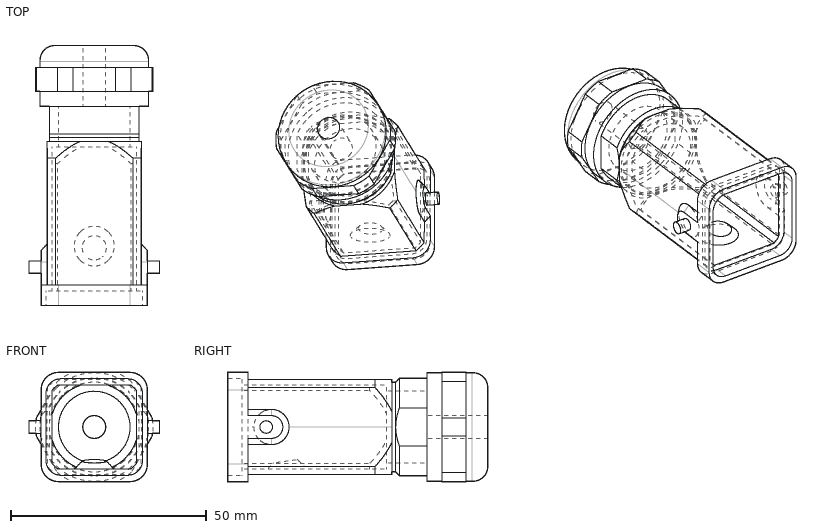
import cadquery as cq
import math


collar_width = 27.2
collar_height = 28.0
collar_length = 5.2
collar_corner_radius = 4.5
mouth_size = 24.7
mouth_corner_radius = 3.85
mouth_depth = 3.7

body_end = 42.0
body_half_height = 12.15
body_half_width = 12.1
body_draft_offset = 0.15
body_corner_radius = 15.65
body_nose_radius = 12.65
body_nose_length = 4.3

wall = 1.4
cavity_half_size = body_half_height - wall
cavity_corner_radius = body_corner_radius - wall
cavity_floor_radius = body_nose_radius - wall
cavity_end = body_end - wall

neck_radius = 23.0 / 2
neck_end = 42.95
sleeve_radius = 25.0 / 2
sleeve_start = 43.9
sleeve_end = 50.9
sleeve_flats = 23.0
nut_ring_radius = 27.8 / 2
nut_start = 54.75
nut_end = 60.9
nut_across_flats = 28.0
nut_corner_radius = 15.0
dome_start = 62.4
total_length = 66.5
dome_flat_radius = 10.4
cable_hole_diameter = 5.8
gland_bore_diameter = 18.3

pin_diameter = 3.2
pin_span = 33.4
pin_y = 9.85
pad_y = 11.2
pad_base_radius = 4.5
pad_top_radius = 2.9
pad_base_x = body_half_width

boss_y = 15.2
boss_base_radius = 5.1
boss_front_height = 1.55
boss_slant = 8.0


def box_along_y(width, height, y_start, y_end):
    """Rectangular block centred on the Y axis."""
    length = y_end - y_start
    return cq.Workplane("XY").box(width, length, height).translate((0, y_start + length / 2, 0))


def rod_along_y(radius, y_start, y_end):
    """Cylinder centred on the Y axis."""
    return cq.Workplane("XZ", origin=(0, y_start, 0)).circle(radius).extrude(y_start - y_end)


def nosed_rod(radius, nose_radius, y_end):
    """Cylinder about Y from the mouth, ending in the cone of the body's nose."""
    slope = body_nose_length / (body_corner_radius - body_nose_radius)
    nose_start = y_end - slope * (radius - nose_radius)
    profile = [(0, 0), (radius, 0), (radius, nose_start), (nose_radius, y_end), (0, y_end)]
    return cq.Workplane("XY").polyline(profile).close().revolve(360, (0, 0, 0), (0, 1, 0))


def make_body():
    """Box with sides drafted away from the parting line at Z = 0, then rounded at corners and nose."""
    edge_half_width = body_half_width - body_draft_offset
    outline = [
        (body_half_width, 0),
        (edge_half_width, body_half_height),
        (-edge_half_width, body_half_height),
        (-body_half_width, 0),
        (-edge_half_width, -body_half_height),
        (edge_half_width, -body_half_height),
    ]
    box = cq.Workplane("XZ").polyline(outline).close().extrude(-body_end)
    return box.intersect(nosed_rod(body_corner_radius, body_nose_radius, body_end))


def make_collar():
    collar = box_along_y(collar_width, collar_height, 0, collar_length)
    return collar.edges("|Y").fillet(collar_corner_radius)


def make_gland():
    """Neck, sleeve, nut ring and domed cap as one turned shape, plus the sleeve flats and hexagon."""
    bend = math.sqrt(0.5)
    dome_middle = (
        dome_flat_radius + (nut_ring_radius - dome_flat_radius) * bend,
        dome_start + (total_length - dome_start) * bend,
    )
    sleeve_profile = [
        (0, cavity_end),
        (neck_radius, cavity_end),
        (neck_radius, neck_end),
        (sleeve_radius, sleeve_start),
        (sleeve_radius, sleeve_end),
        (0, sleeve_end),
    ]
    sleeve = cq.Workplane("XY").polyline(sleeve_profile).close().revolve(360, (0, 0, 0), (0, 1, 0))
    sleeve = sleeve.intersect(box_along_y(sleeve_flats, 2 * sleeve_radius, cavity_end, sleeve_end))

    cap = (
        cq.Workplane("XY")
        .moveTo(0, sleeve_end)
        .lineTo(nut_ring_radius, sleeve_end)
        .lineTo(nut_ring_radius, dome_start)
        .threePointArc(dome_middle, (dome_flat_radius, total_length))
        .lineTo(0, total_length)
        .close()
        .revolve(360, (0, 0, 0), (0, 1, 0))
    )

    hexagon_diameter = nut_across_flats / math.cos(math.pi / 6)
    hexagon = cq.Workplane("XZ", origin=(0, nut_start, 0)).polygon(6, hexagon_diameter)
    nut = hexagon.extrude(nut_start - nut_end)
    nut = nut.intersect(rod_along_y(nut_corner_radius, nut_start, nut_end))
    return sleeve.union(cap).union(nut)


def make_pad(side):
    """Bevelled pad with a round end, running from the pin to the collar and flush with its side."""
    base = cq.Workplane("YZ", origin=(side * pad_base_x, 0, 0))
    rise = collar_width / 2 - pad_base_x
    bevel = math.degrees(math.atan((pad_base_radius - pad_top_radius) / rise))
    outward = side * rise
    round_end = base.center(pad_y, 0).circle(pad_base_radius).extrude(outward, taper=bevel)
    section = [
        (pad_base_x, -pad_base_radius),
        (collar_width / 2, -pad_top_radius),
        (collar_width / 2, pad_top_radius),
        (pad_base_x, pad_base_radius),
    ]
    tongue = cq.Workplane("XZ").polyline([(side * x, z) for x, z in section]).close().extrude(-pad_y)
    root = cq.Workplane("YZ").center(pad_y, 0).circle(pad_base_radius).extrude(side * pad_base_x)
    return round_end.union(tongue).union(root)


def make_pins():
    pins = cq.Workplane("YZ", origin=(-pin_span / 2, pin_y, 0)).circle(pin_diameter / 2)
    return pins.extrude(pin_span)


def make_cavity():
    """Mouth recess, rounded square chamber with a conical end, gland bore and cable hole."""
    recess = box_along_y(mouth_size, mouth_size, 0, mouth_depth).edges("|Y").fillet(mouth_corner_radius)
    chamber = box_along_y(2 * cavity_half_size, 2 * cavity_half_size, 0, cavity_end)
    chamber = chamber.intersect(nosed_rod(cavity_corner_radius, cavity_floor_radius, cavity_end))
    bore = rod_along_y(gland_bore_diameter / 2, 0, sleeve_end)
    cable_hole = rod_along_y(cable_hole_diameter / 2, 0, total_length)
    return recess.union(chamber).union(bore).union(cable_hole)


def make_boss():
    """45 degree cone on the cavity floor, with a top that climbs towards the gland."""
    floor_z = -cavity_half_size
    cone = cq.Workplane("XY").add(
        cq.Solid.makeCone(boss_base_radius, 0, boss_base_radius, cq.Vector(0, boss_y, floor_z))
    )
    rim_y = boss_y - boss_base_radius + boss_front_height
    rim_z = floor_z + boss_front_height
    cutter_size = 4 * boss_base_radius
    cutter = cq.Workplane("XY").box(cutter_size, cutter_size, cutter_size, centered=(True, True, False))
    cutter = cutter.rotate((0, 0, 0), (1, 0, 0), boss_slant).translate((0, rim_y, rim_z))
    root = cq.Workplane("XY", origin=(0, boss_y, floor_z)).circle(boss_base_radius).extrude(-wall / 2)
    return cone.cut(cutter).union(root)


result = make_body().union(make_collar()).union(make_gland())
for side in (-1, 1):
    result = result.union(make_pad(side))
result = result.union(make_pins()).cut(make_cavity()).union(make_boss())